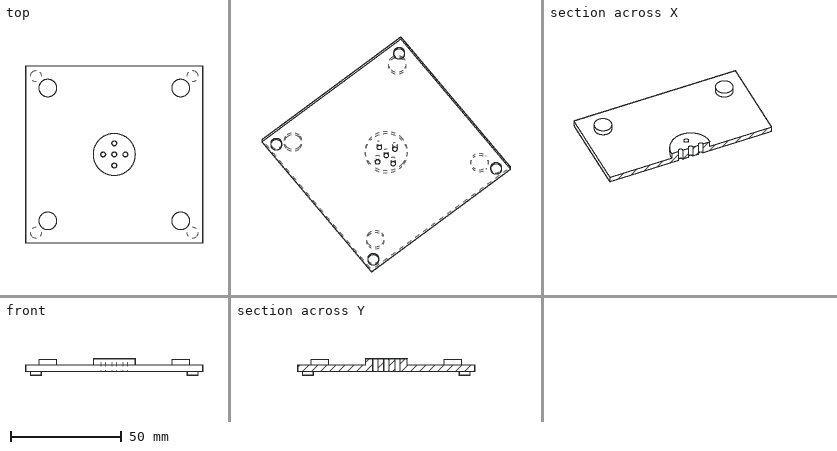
import cadquery as cq
import math

plate_side = 80.0
plate_thickness = 3.0

disc_diameter = 19.0
disc_height = 2.85
hole_diameter = 2.1
hole_spacing = 5.0

pad_diameter = 8.0
pad_height = 2.5
pad_offset = 30.0

overall_height = 7.55
peg_diameter = 5.0
peg_height = overall_height - plate_thickness - disc_height
peg_circle_radius = 50.0
peg_offset = peg_circle_radius / math.sqrt(2)


def make_plate():
    return cq.Workplane("XY").box(plate_side, plate_side, plate_thickness, centered=(True, True, False))


def make_disc():
    return cq.Workplane("XY", origin=(0, 0, plate_thickness)).circle(disc_diameter / 2).extrude(disc_height)


def make_pads():
    return (
        cq.Workplane("XY", origin=(0, 0, plate_thickness))
        .rect(2 * pad_offset, 2 * pad_offset, forConstruction=True)
        .vertices()
        .circle(pad_diameter / 2)
        .extrude(pad_height)
    )


def make_pegs():
    return (
        cq.Workplane("XY")
        .rect(2 * peg_offset, 2 * peg_offset, forConstruction=True)
        .vertices()
        .circle(peg_diameter / 2)
        .extrude(-peg_height)
    )


def make_hole_cutters():
    hole_centres = [
        (0, 0),
        (hole_spacing, 0),
        (-hole_spacing, 0),
        (0, hole_spacing),
        (0, -hole_spacing),
    ]
    return (
        cq.Workplane("XY")
        .pushPoints(hole_centres)
        .circle(hole_diameter / 2)
        .extrude(plate_thickness + disc_height)
    )


body = make_plate().union(make_disc()).union(make_pads()).union(make_pegs())
result = body.cut(make_hole_cutters())